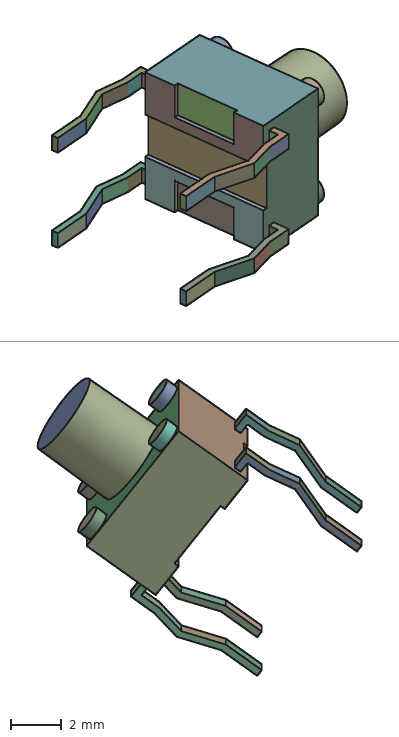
import cadquery as cq

body_width = 6.0
body_depth = 3.4

recess_depth = 0.2
channel_height = 2.0
pocket_width = 3.0
pocket_height = 1.5

button_base_diameter = 3.5
button_tip_diameter = 3.4
button_length = 3.4

boss_diameter = 1.2
boss_height = 0.5
boss_offset = 2.3

strip_thickness = 0.3
strip_width = 0.7
terminal_offset_z = 2.25
shoulder_y = 0.65
shoulder_x = 3.75
kink_x = 4.005
leg_x = 3.4
shoulder_end_y = -0.5
kink_y = -1.8
leg_start_y = -3.53
leg_tip_y = -5.3

body_half = body_width / 2


def make_housing():
    housing = cq.Workplane("XY").box(body_width, body_depth, body_width, centered=(True, False, True))
    channel = cq.Workplane("XY").box(body_width, recess_depth, channel_height, centered=(True, False, True))
    housing = housing.cut(channel)
    pocket_center_z = body_half - pocket_height / 2
    for side in (1, -1):
        pocket = (
            cq.Workplane("XY")
            .box(pocket_width, recess_depth, pocket_height, centered=(True, False, True))
            .translate((0, 0, side * pocket_center_z))
        )
        housing = housing.cut(pocket)
    return housing


def back_face_plane():
    return cq.Workplane(cq.Plane(origin=(0, body_depth, 0), xDir=(1, 0, 0), normal=(0, 1, 0)))


def make_button():
    return (
        back_face_plane()
        .circle(button_base_diameter / 2)
        .workplane(offset=button_length)
        .circle(button_tip_diameter / 2)
        .loft(ruled=True)
    )


def make_bosses():
    boss_span = 2 * boss_offset
    return (
        back_face_plane()
        .rect(boss_span, boss_span, forConstruction=True)
        .vertices()
        .circle(boss_diameter / 2)
        .extrude(boss_height)
    )


def make_terminal():
    outer_side = [
        (body_half, shoulder_y),
        (shoulder_x, shoulder_y),
        (shoulder_x, shoulder_end_y),
        (kink_x, kink_y),
        (leg_x, leg_start_y),
        (leg_x, leg_tip_y),
    ]
    inner_side = [(x - strip_thickness, y) for x, y in reversed(outer_side[2:])]
    inner_shoulder_y = shoulder_y - strip_thickness
    inner_side += [
        (shoulder_x - strip_thickness, inner_shoulder_y),
        (body_half, inner_shoulder_y),
    ]
    return (
        cq.Workplane("XY")
        .polyline(outer_side + inner_side)
        .close()
        .extrude(strip_width / 2, both=True)
        .translate((0, 0, terminal_offset_z))
    )


result = make_housing().union(make_button()).union(make_bosses())

right_upper = make_terminal()
left_upper = right_upper.mirror("YZ")
for upper in (right_upper, left_upper):
    result = result.union(upper).union(upper.mirror("XY"))